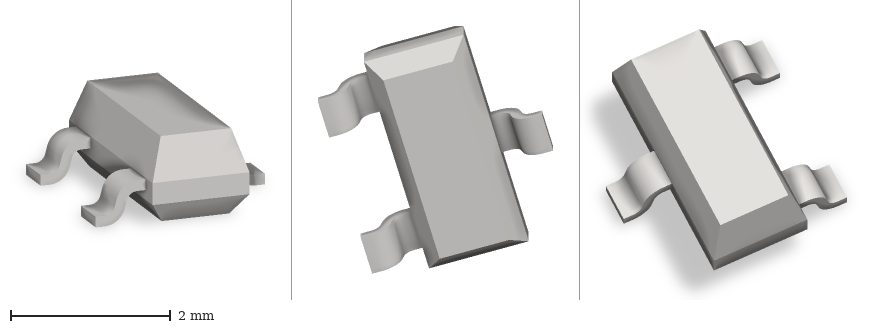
import cadquery as cq
import math

housing_length = 2.9
housing_width = 1.3
housing_height = 1.12
band_bottom = 0.287
band_top = 0.575
top_inset = 0.177
bottom_inset = 0.197

span_over_leads = 2.64
lead_width = 0.508
lead_thickness = 0.14
lead_top = 0.555
lead_pitch = 1.91
shoulder_length = 0.115
bend_angle = math.radians(75)
inner_bend_radius = lead_thickness
bend_radius = inner_bend_radius + lead_thickness / 2

marker_diameter = 0.145
marker_depth = 0.015
marker_x = -housing_length / 2 + 0.49
marker_y = -housing_width / 2 + 0.315


def inset_section(inset, z):
    """Rectangular wire of the housing, drawn in by inset, at height z."""
    section = cq.Workplane("XY", origin=(0, 0, z))
    return section.rect(housing_length - 2 * inset, housing_width - 2 * inset).val()


def tapered_block(lower_inset, lower_z, upper_inset, upper_z):
    """Solid with flat sides between two rectangular sections."""
    sections = [inset_section(lower_inset, lower_z), inset_section(upper_inset, upper_z)]
    return cq.Workplane(cq.Solid.makeLoft(sections, True))


def make_marker():
    base = cq.Workplane("XY", origin=(marker_x, marker_y, housing_height - marker_depth))
    return base.circle(marker_diameter / 2).extrude(marker_depth)


def make_housing(marker):
    lower = tapered_block(bottom_inset, 0, 0, band_bottom)
    band = tapered_block(0, band_bottom, 0, band_top)
    upper = tapered_block(0, band_top, top_inset, housing_height)
    return lower.union(band).union(upper).cut(marker)


def make_lead(x, side):
    """Lead centred at x; side is +1 for the +Y face of the housing, -1 for the -Y face."""
    start_y = housing_width / 2
    end_y = span_over_leads / 2
    shoulder_z = lead_top - lead_thickness / 2
    foot_z = lead_thickness / 2

    bend_run = bend_radius * math.sin(bend_angle)
    bend_drop = bend_radius * (1 - math.cos(bend_angle))
    slope_drop = shoulder_z - foot_z - 2 * bend_drop
    slope_run = slope_drop / math.tan(bend_angle)

    bend_start_y = start_y + shoulder_length
    slope_start = (bend_start_y + bend_run, shoulder_z - bend_drop)
    slope_end = (slope_start[0] + slope_run, slope_start[1] - slope_drop)
    foot_start = (slope_end[0] + bend_run, foot_z)

    half_run = bend_radius * math.sin(bend_angle / 2)
    half_drop = bend_radius * (1 - math.cos(bend_angle / 2))
    upper_bend_middle = (bend_start_y + half_run, shoulder_z - half_drop)
    lower_bend_middle = (foot_start[0] - half_run, foot_z + half_drop)

    centreline = (
        cq.Workplane("YZ")
        .moveTo(start_y, shoulder_z)
        .lineTo(bend_start_y, shoulder_z)
        .threePointArc(upper_bend_middle, slope_start)
        .lineTo(*slope_end)
        .threePointArc(lower_bend_middle, foot_start)
        .lineTo(end_y, foot_z)
    )
    section = cq.Workplane("XZ", origin=(0, start_y, shoulder_z)).rect(lead_width, lead_thickness)
    lead = section.sweep(centreline)
    if side < 0:
        lead = lead.rotate((0, 0, 0), (0, 0, 1), 180)
    return lead.translate((x, 0, 0))


marker = make_marker()
housing = make_housing(marker)

lead_places = [(-lead_pitch / 2, -1), (lead_pitch / 2, -1), (0, 1)]
leads = [make_lead(x, side).val() for x, side in lead_places]

result = cq.Compound.makeCompound([housing.val(), marker.val(), *leads])